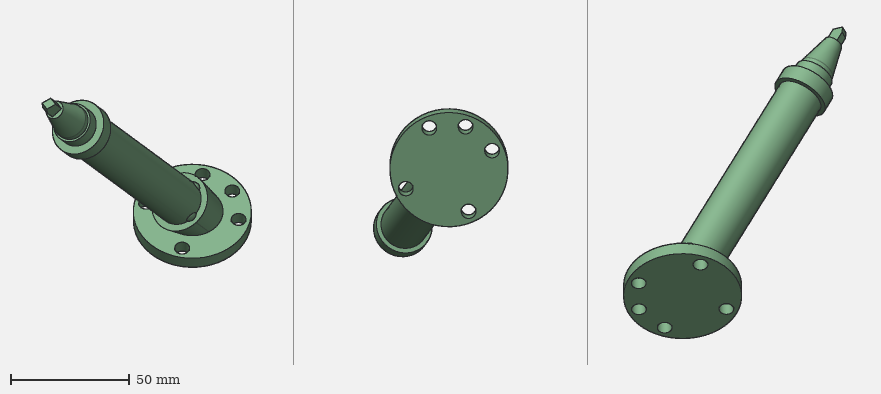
import cadquery as cq
import math

flange_diameter = 50.0
flange_thickness = 6.4
bolt_hole_diameter = 6.2
bolt_circle_radius = 20.0
bolt_angles = [45, 90, 135, 225, 315]

lean_angle = 30
socket_diameter = 26.0
socket_length = 12.7
socket_bore_depth = 10.6

barrel_diameter = 20.0
collar_diameter = 24.0
collar_start = 94.9
collar_end = 101.9

dome_radius = 3.0
dome_lift = 0.5
dome_reach = 11.0
dome_angles = [0, 90, 180]

boss_diameter = 17.0
boss_end = 108.0
nozzle_base_diameter = 15.0
nozzle_tip_diameter = 8.0
cone_start = 110.5
nozzle_end = 125.5

tip_width = 3.8
tip_half_depth = 2.7
tip_upper_shoulder = 131.5
tip_lower_shoulder = 130.5
tip_ridge = 133.3
tip_ridge_offset = 1.26

lean = math.radians(lean_angle)
axis_direction = cq.Vector(0, -math.sin(lean), math.cos(lean))
flange_top_centre = cq.Vector(0, 0, flange_thickness)
rim_centre = flange_top_centre + axis_direction * socket_length
rim_plane = cq.Plane(origin=rim_centre, xDir=(1, 0, 0), normal=axis_direction)


def round_section(diameter, start, end):
    """Cylinder on the leaning axis between two positions from the rim."""
    return cq.Workplane(rim_plane).workplane(offset=start).circle(diameter / 2).extrude(end - start)


def make_barrel():
    """Tube with collar and locating domes."""
    shaft = round_section(barrel_diameter, -socket_bore_depth, collar_start)
    collar = round_section(collar_diameter, collar_start, collar_end)
    body = shaft.union(collar)
    dome_centre_radius = dome_reach - dome_radius
    dome_plane = cq.Workplane(rim_plane).workplane(offset=dome_lift)
    for angle in dome_angles:
        centre = dome_plane.polarArray(dome_centre_radius, angle, 360, 1)
        body = body.union(centre.sphere(dome_radius))
    return body


def make_base(barrel_body):
    """Drilled flange with a lofted socket, recessed to receive the barrel."""
    flange = cq.Workplane("XY").circle(flange_diameter / 2).extrude(flange_thickness)
    for angle in bolt_angles:
        hole = cq.Workplane("XY").polarArray(bolt_circle_radius, angle, 360, 1)
        flange = flange.cut(hole.circle(bolt_hole_diameter / 2).extrude(flange_thickness))

    foot = cq.Wire.makeCircle(socket_diameter / 2, flange_top_centre, cq.Vector(0, 0, 1))
    rim = cq.Wire.makeCircle(socket_diameter / 2, rim_centre, axis_direction)
    socket = cq.Workplane(cq.Solid.makeLoft([foot, rim], True))
    return flange.union(socket).cut(barrel_body)


def make_nozzle():
    """Boss and short cylindrical seat followed by a cone."""
    boss_radius = boss_diameter / 2
    seat_radius = nozzle_base_diameter / 2
    profile = [
        (0, collar_end),
        (boss_radius, collar_end),
        (boss_radius, boss_end),
        (seat_radius, boss_end),
        (seat_radius, cone_start),
        (nozzle_tip_diameter / 2, nozzle_end),
        (0, nozzle_end),
    ]
    section_plane = cq.Plane(origin=rim_centre, xDir=(1, 0, 0), normal=-rim_plane.yDir)
    return cq.Workplane(section_plane).polyline(profile).close().revolve(360, (0, 0), (0, 1))


def make_tip():
    """Rectangular tip standing on the nozzle, with two bevels meeting at a ridge."""
    side_plane = cq.Plane(origin=rim_centre, xDir=rim_plane.yDir, normal=(1, 0, 0))
    profile = [
        (-tip_half_depth, nozzle_end),
        (tip_half_depth, nozzle_end),
        (tip_half_depth, tip_upper_shoulder),
        (-tip_ridge_offset, tip_ridge),
        (-tip_half_depth, tip_lower_shoulder),
    ]
    return cq.Workplane(side_plane).polyline(profile).close().extrude(tip_width / 2, both=True)


barrel = make_barrel()
base = make_base(barrel)
nozzle = make_nozzle()
tip = make_tip()

result = cq.Compound.makeCompound([body.solids().val() for body in (base, barrel, nozzle, tip)])